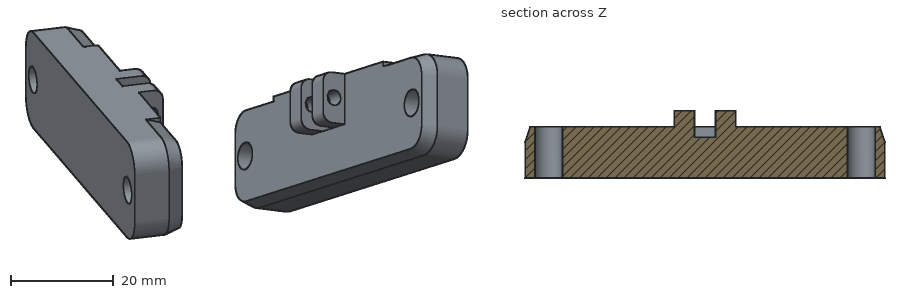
import cadquery as cq
import math

length = 70.0
height = 20.0
thickness = 10.0
corner_radius = 5.0

rim_depth = 3.0
rim_inset = 1.0

square_edge_length = 40.05

mount_hole_diameter = 5.3
mount_hole_spacing = 60.75

lug_width = 4.0
lug_gap = 4.0
lug_reach = 5.0
lug_height = height / 2
lug_radius = 1.95
pin_hole_diameter = 3.0
pin_edge_distance = 2.5

notch_depth = 2.0

top = height / 2
lug_end = thickness + lug_reach
lug_bottom = top - lug_height
lug_offset = (lug_width + lug_gap) / 2
pin_y = lug_end - pin_edge_distance
pin_z = top - lug_height / 2


def box(x_size, y_start, y_end, z_start, z_end):
    """Box centred on X = 0 between the given Y and Z limits."""
    return (
        cq.Workplane("XY")
        .box(x_size, y_end - y_start, z_end - z_start, centered=(True, False, False))
        .translate((0, y_start, z_start))
    )


def plate():
    """Rounded plate whose rear part tapers in, except along the square top edge."""
    outline = cq.Sketch().rect(length, height).vertices().fillet(corner_radius)
    straight_depth = thickness - rim_depth
    taper_angle = math.degrees(math.atan2(rim_inset, rim_depth))
    front = cq.Workplane("XZ").placeSketch(outline).extrude(-straight_depth)
    rim = (
        cq.Workplane("XZ", origin=(0, straight_depth, 0))
        .placeSketch(outline)
        .extrude(-rim_depth, taper=taper_angle)
    )
    square_edge = box(square_edge_length, straight_depth, thickness, lug_bottom, top)
    return front.union(rim).union(square_edge)


def mount_holes():
    return (
        cq.Workplane("XZ")
        .rarray(mount_hole_spacing, 0.7, 2, 1)
        .circle(mount_hole_diameter / 2)
        .extrude(-thickness)
    )


def lug(x_centre):
    """Lug with rounded outer edges and a pin hole along X, rooted as deep as the notch."""
    block = box(lug_width, thickness - notch_depth, lug_end, lug_bottom, top)
    block = block.edges("|X and >Y").fillet(lug_radius)
    pin_hole = (
        cq.Workplane("YZ")
        .center(pin_y, pin_z)
        .circle(pin_hole_diameter / 2)
        .extrude(lug_width / 2, both=True)
    )
    return block.cut(pin_hole).translate((x_centre, 0, 0))


notch = box(lug_gap, thickness - notch_depth, thickness, lug_bottom, top)

result = plate().cut(mount_holes()).cut(notch)
for side in (-1, 1):
    result = result.union(lug(side * lug_offset))